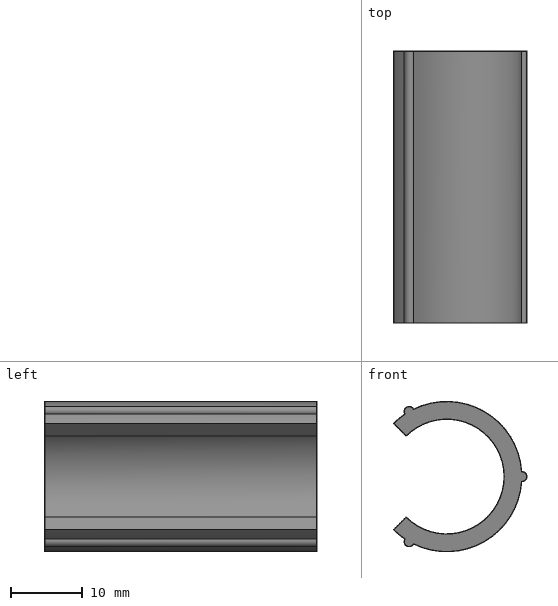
import cadquery as cq
import math

LENGTH = 38.0
OUTER_RADIUS = 10.5
INNER_RADIUS = 8.0
OPENING_ANGLE = 90.0
RIB_RADIUS = 0.7
RIB_COUNT = 3

HALF_WRAP = 180.0 - OPENING_ANGLE / 2


def polar(radius, angle):
    """Point on the XZ section at the given radius and angle from +X."""
    return (
        radius * math.cos(math.radians(angle)),
        radius * math.sin(math.radians(angle)),
    )


def section_plane():
    """XZ plane at the +Y end; extruding from it runs toward -Y."""
    return cq.Workplane("XZ", origin=(0, LENGTH / 2, 0))


def clip_ring():
    """C-shaped tube along Y with radial end faces at the opening."""
    return (
        section_plane()
        .moveTo(*polar(OUTER_RADIUS, HALF_WRAP))
        .threePointArc(polar(OUTER_RADIUS, 0), polar(OUTER_RADIUS, -HALF_WRAP))
        .lineTo(*polar(INNER_RADIUS, -HALF_WRAP))
        .threePointArc(polar(INNER_RADIUS, 0), polar(INNER_RADIUS, HALF_WRAP))
        .close()
        .extrude(LENGTH)
    )


def ribs():
    """Round ribs running the full length, centred on the outer surface."""
    centres = [polar(OUTER_RADIUS, i * 360.0 / RIB_COUNT) for i in range(RIB_COUNT)]
    return section_plane().pushPoints(centres).circle(RIB_RADIUS).extrude(LENGTH)


result = clip_ring().union(ribs())